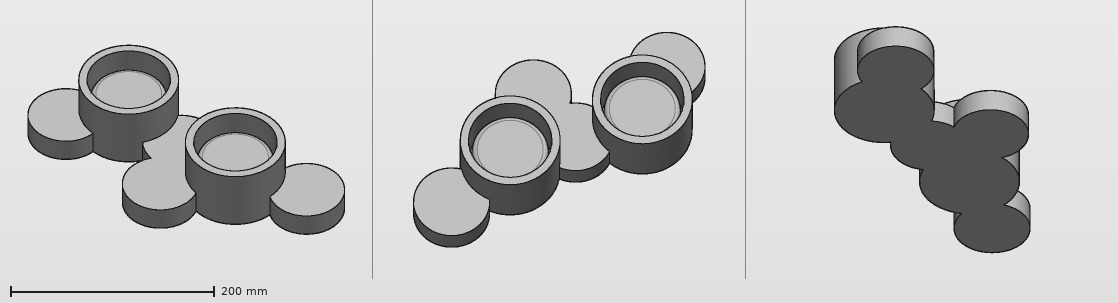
import cadquery as cq

LAST_FOOT = (240.0, 98.3)
FOOT_CENTRES = [(0, 0), (105.2, 55.7), (134.8, 0), LAST_FOOT]
CUP_CENTRES = [(36.5, 50.5), (173.2, 65.2)]

OVERALL_LENGTH = 315.0
FOOT_RADIUS = (OVERALL_LENGTH - LAST_FOOT[0]) / 2
FOOT_HEIGHT = 25.0

CUP_HEIGHT = 65.0
CUP_RADIUS = 49.0
WALL_THICKNESS = 8.2
BORE_RADIUS = CUP_RADIUS - WALL_THICKNESS
FLOOR_THICKNESS = 20.0

PUCK_RADIUS = FOOT_RADIUS
PUCK_HEIGHT = FOOT_HEIGHT
PUCK_FILLET = 5.0


def cylinder(centre, radius, height, base_z=0):
    """Upright cylinder standing at base_z over a plan position."""
    return (
        cq.Workplane("XY", origin=(*centre, base_z))
        .circle(radius)
        .extrude(height)
    )


def make_holder():
    """Two open cups joined and supported by low round feet."""
    holder = cylinder(CUP_CENTRES[0], CUP_RADIUS, CUP_HEIGHT)
    for centre in CUP_CENTRES[1:]:
        holder = holder.union(cylinder(centre, CUP_RADIUS, CUP_HEIGHT))
    for centre in FOOT_CENTRES:
        holder = holder.union(cylinder(centre, FOOT_RADIUS, FOOT_HEIGHT))
    bore_depth = CUP_HEIGHT - FLOOR_THICKNESS
    for centre in CUP_CENTRES:
        holder = holder.cut(cylinder(centre, BORE_RADIUS, bore_depth, FLOOR_THICKNESS))
    return holder


def make_puck(centre):
    """Disc with a rounded top edge, centred on a cup floor."""
    puck = cylinder(centre, PUCK_RADIUS, PUCK_HEIGHT, FLOOR_THICKNESS)
    return puck.faces(">Z").edges().fillet(PUCK_FILLET)


holder = make_holder()
pucks = [make_puck(centre).val() for centre in CUP_CENTRES]

result = cq.Compound.makeCompound([holder.val(), *pucks])